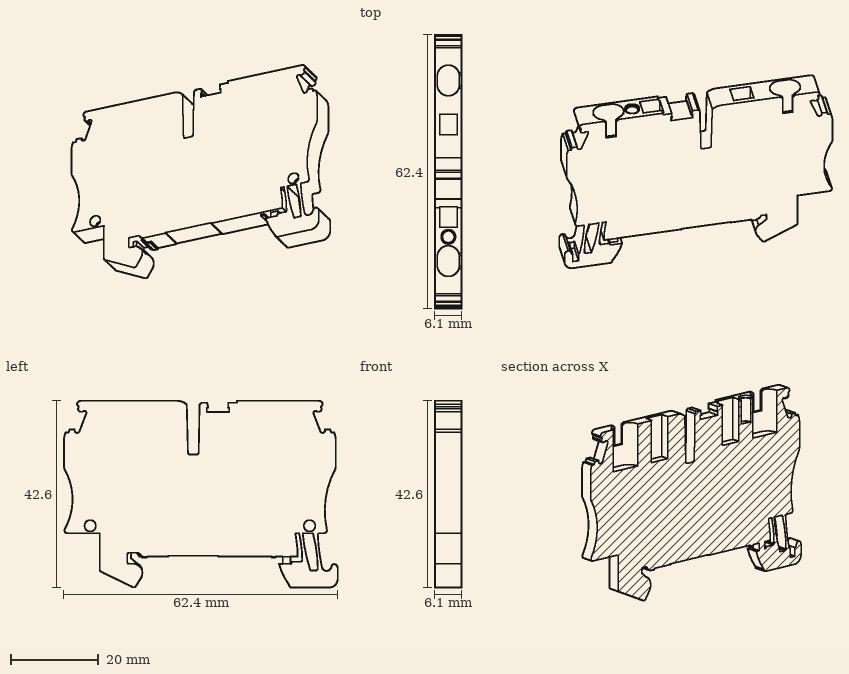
import cadquery as cq
import math


thickness = 6.1
height = 42.6
half_length = 31.0
foot_reach = 31.43
ledge_z = 12.4
rail_seat_z = 7.1
overcut = 1.0

near_x = -thickness / 2
far_x = thickness / 2
hook_recess_depth = 2.3
web_inset = 0.9

body_back_y = 22.85
body_front_y = -22.26
body_front_top_y = -21.8
body_front_bend_z = 8.9
seat_relief = 0.15
seat_relief_back_y = 7.25
seat_relief_front_y = -4.2
rail_pad_z = 6.8
throat_top_z = 7.95
throat_back_y = 15.6
throat_front_y = 14.4
throat_mouth_y = 13.1
jaw_z = 5.4

end_shoulder_z = 33.6
end_wall_bottom_z = 27.55
waist_top_inset = 0.1
waist_top_drop = 0.5
toe_rise = 0.9
toe_length = 0.6

wire_well_y = 20.58
wire_well_length = 7.0
wire_well_width = 5.05
wire_well_depth = 10.0
vent_mouth_width = 3.6
vent_width = 2.35
vent_mouth_depth = 0.5
vent_depth = 5.0
release_hole_y = 10.52
release_hole_length = 4.7
release_hole_width = 4.0
release_hole_depth = 10.0
screw_y = -15.05
screw_diameter = 2.7
screw_depth = 6.0
screw_seat_diameter = 3.3
screw_seat_depth = 0.5

socket_y = 25.0
socket_z = 14.1
socket_diameter = 2.6
socket_depth = 3.0


def trace(steps, start_x=near_x, depth=thickness):
    """Extrude a closed YZ outline; a step is a point, or a (through, end) pair for an arc."""
    path = cq.Workplane("YZ", origin=(start_x, 0, 0)).moveTo(*steps[0])
    for step in steps[1:]:
        if isinstance(step[0], tuple):
            path = path.threePointArc(*step)
        else:
            path = path.lineTo(*step)
    return path.close().extrude(depth)


def both_ends(cutter):
    """The cutter together with its mirror image at the other end of the housing."""
    return cutter.union(cutter.mirror("XZ"))


def housing():
    """Upper housing and lower body without any details."""
    return trace([
        (half_length, height),
        (-half_length, height),
        (-half_length, ledge_z),
        (body_front_top_y, ledge_z),
        (body_front_y, body_front_bend_z),
        (body_front_y, rail_seat_z),
        (seat_relief_front_y, rail_seat_z),
        (seat_relief_front_y, rail_seat_z + seat_relief),
        (seat_relief_back_y, rail_seat_z + seat_relief),
        (seat_relief_back_y, rail_seat_z),
        (body_back_y, rail_seat_z),
        (body_back_y, ledge_z),
        (half_length, ledge_z),
    ])


def end_notch():
    """Space outside the marker lip and the ribbed shoulder at the +Y end."""
    lip_start_y = 27.05
    lip_tip = (28.05, 41.75)
    lip_dent = (27.6, 41.2)
    lip_barb = (27.8, 40.75)
    lip_under = (27.2, 40.07)
    notch_top_y = 26.7
    notch_corner = (25.9, 39.75)
    notch_bottom = (27.45, 35.7)
    groove_z = 35.3
    rib_inner_y = 28.5
    rib_outer_y = 29.7
    rib_top_z = 36.08
    step_y = 29.95
    step_end_y = 30.6
    outside_y = half_length + overcut
    above_z = height + overcut
    return trace([
        (lip_start_y, above_z),
        (lip_start_y, height),
        ((27.75, 42.35), lip_tip),
        lip_dent,
        lip_barb,
        ((27.6, 40.3), lip_under),
        (notch_top_y, lip_under[1]),
        ((26.1, 40.2), notch_corner),
        notch_bottom,
        ((27.95, groove_z), (rib_inner_y, 35.75)),
        (rib_inner_y, rib_top_z),
        (rib_outer_y, rib_top_z),
        (step_y, 35.4),
        (step_end_y, 35.4),
        ((30.9, 34.5), (half_length, end_shoulder_z)),
        (outside_y, end_shoulder_z),
        (outside_y, above_z),
    ])


def end_waist(waist, toe_y):
    """Finger hollow at the +Y end, from the end wall through the waist point to a rounded toe."""
    outside_y = half_length + overcut
    toe_inner_y = toe_y - toe_length
    toe_mid = (toe_y - toe_length / 4, ledge_z + toe_rise / 4)
    return trace([
        (half_length, end_wall_bottom_z),
        (half_length - waist_top_inset, end_wall_bottom_z - waist_top_drop),
        (waist, (toe_y, ledge_z + toe_rise)),
        (toe_mid, (toe_inner_y, ledge_z)),
        (toe_inner_y, ledge_z - overcut),
        (outside_y, ledge_z - overcut),
        (outside_y, end_wall_bottom_z),
    ])


def bridge_slot():
    """Deep tapered slot between the two halves of the housing top."""
    slot_floor_z = 30.35
    floor_round = 0.5
    corner_inset = floor_round * (1 - math.sqrt(0.5))
    corner_z = slot_floor_z + corner_inset
    top_back_y = 2.95
    floor_back_y = 2.7
    floor_front_y = 0.3
    top_front_y = 0.1
    return trace([
        (5.05, height + overcut),
        (5.05, height),
        ((3.9, 42.35), (3.0, 41.75)),
        (top_back_y, 41.2),
        (floor_back_y, slot_floor_z + floor_round),
        ((floor_back_y - corner_inset, corner_z), (floor_back_y - floor_round, slot_floor_z)),
        (floor_front_y + floor_round, slot_floor_z),
        ((floor_front_y + corner_inset, corner_z), (floor_front_y, slot_floor_z + floor_round)),
        (top_front_y, 41.7),
        (-0.35, 42.15),
        (-0.35, height + overcut),
    ])


def marker_slot():
    """Lowered middle deck with an undercut groove for a marker tag."""
    deck_z = 42.15
    deck_front_y = -8.44
    groove_floor_z = 40.07
    catch_z = 40.95
    groove_back_y = -1.6
    groove_front_y = -6.65
    return trace([
        (0.0, height + overcut),
        (0.0, deck_z),
        (-1.65, deck_z),
        (-1.95, catch_z),
        (groove_back_y, catch_z),
        (groove_back_y, groove_floor_z),
        (groove_front_y, groove_floor_z),
        (groove_front_y, catch_z),
        (-6.4, catch_z),
        (-6.47, deck_z),
        (deck_front_y, deck_z),
        (deck_front_y, height + overcut),
    ])


def rail_hook():
    """Rigid hook at the +Y side that grips one edge of the rail, with its contact pad."""
    return trace([
        (body_back_y, ledge_z),
        (body_back_y, 4.2),
        ((22.75, 3.8), (22.4, 3.55)),
        (15.5, 0.2),
        ((15.0, 0.05), (14.6, 0.3)),
        (13.4, 2.2),
        ((13.1, 3.8), (13.75, 5.2)),
        (14.6, 5.75),
        (15.7, 6.75),
        (throat_back_y, throat_top_z),
        (throat_front_y, throat_top_z),
        (throat_mouth_y, rail_pad_z),
        (12.2, rail_pad_z),
        (11.95, rail_seat_z),
        (11.95, ledge_z),
    ])


def hook_throat():
    """Opening under the housing in front of the hook."""
    return trace([
        (16.0, rail_seat_z - overcut),
        (throat_back_y, throat_top_z),
        (throat_front_y, throat_top_z),
        (throat_mouth_y, rail_seat_z - overcut),
    ])


def hook_recess():
    """Wider throat at the -X face of the hook."""
    return trace([
        (14.0, throat_top_z),
        (16.1, throat_top_z),
        ((16.4, 7.85), (16.5, 7.5)),
        (16.5, 5.8),
        ((16.4, 5.5), (16.1, 5.4)),
        (14.8, 5.4),
        ((13.8, 4.9), (13.2, 4.1)),
        (12.0, 4.1),
        (11.9, rail_seat_z),
        (throat_mouth_y, rail_seat_z),
    ], depth=hook_recess_depth)


def rail_foot():
    """Sprung foot at the -Y side, hanging from the housing on two arms."""
    shelf_z = 5.95
    lip_z = 5.4
    return trace([
        (-22.6, ledge_z),
        ((-23.15, 9.0), (-23.3, 6.2)),
        (-23.05, shelf_z),
        (-21.1, shelf_z),
        (-20.7, jaw_z),
        (-18.0, jaw_z),
        ((-18.8, 3.2), (-20.3, 0.65)),
        ((-20.5, 0.2), (-21.0, 0.0)),
        (-29.6, 0.0),
        ((-30.8, 0.55), (-foot_reach, 1.8)),
        (-foot_reach, 4.4),
        ((-31.17, 5.1), (-30.6, lip_z)),
        ((-30.2, 5.25), (-29.95, 4.85)),
        ((-28.8, 3.85), (-27.85, 4.6)),
        ((-27.2, 8.5), (-26.9, 11.95)),
        ((-26.97, 12.28), (-27.25, ledge_z)),
    ])


def foot_window():
    """Opening between the two spring arms."""
    floor_z = 3.95
    return trace([
        (-23.45, ledge_z),
        (-25.75, ledge_z),
        ((-26.6, 8.0), (-26.85, 4.2)),
        (-26.6, floor_z),
        (-25.2, floor_z),
        ((-24.0, 8.6), (-23.45, ledge_z)),
    ])


def foot_pocket():
    """Screwdriver slot in the groove floor of the foot, open to the +X face."""
    start_x = near_x + 1.6
    back_y = -28.2
    front_y = -29.5
    floor_z = 2.0
    top_z = 4.6
    return trace([
        (back_y, floor_z),
        (back_y, top_z),
        (front_y, top_z),
        (front_y, floor_z),
    ], start_x, far_x - start_x)


def foot_link():
    """Inset web joining the foot jaw to the body, and the rail pad beside it."""
    back_y = -18.85
    front_y = -20.7
    start_x = near_x + web_inset
    width = thickness - 2 * web_inset
    link = trace([
        (back_y, jaw_z),
        (front_y, jaw_z),
        (front_y, rail_seat_z),
        (back_y, rail_seat_z),
    ], start_x, width)
    pad = trace([
        (-16.4, rail_seat_z),
        (-16.4, rail_pad_z),
        (-17.2, rail_pad_z),
        (-17.3, rail_seat_z),
    ], start_x, width)
    return link.union(pad)


def wire_well(y):
    """Obround wire entry with a flared vent through the +X wall."""
    well = (
        cq.Workplane("XY", origin=(0, y, height))
        .slot2D(wire_well_length, wire_well_width, 90)
        .extrude(-wire_well_depth)
    )
    half_mouth = vent_mouth_width / 2
    half_vent = vent_width / 2
    neck_z = height - vent_mouth_depth
    floor_z = height - vent_depth
    vent = trace([
        (y - half_mouth, height),
        (y - half_vent, neck_z),
        (y - half_vent, floor_z),
        (y + half_vent, floor_z),
        (y + half_vent, neck_z),
        (y + half_mouth, height),
    ], 0.0, far_x)
    return well.union(vent)


def release_hole(y):
    """Rectangular screwdriver hole in the top face."""
    return (
        cq.Workplane("XY", origin=(0, y, height))
        .rect(release_hole_width, release_hole_length)
        .extrude(-release_hole_depth)
    )


def screw_hole():
    """Stepped round hole for the test screw."""
    top = cq.Workplane("XY", origin=(0, screw_y, height))
    seat = top.circle(screw_seat_diameter / 2).extrude(-screw_seat_depth)
    return seat.union(top.circle(screw_diameter / 2).extrude(-screw_depth))


def socket(y):
    """Blind round socket in the -X face."""
    return (
        cq.Workplane("YZ", origin=(near_x, y, socket_z))
        .circle(socket_diameter / 2)
        .extrude(socket_depth)
    )


part = housing()
part = part.cut(both_ends(end_notch()))
part = part.cut(end_waist(waist=(29.05, 19.9), toe_y=30.85))
part = part.cut(end_waist(waist=(28.5, 17.1), toe_y=28.95).mirror("XZ"))
part = part.cut(bridge_slot()).cut(marker_slot())
part = part.cut(hook_throat()).union(rail_hook()).cut(hook_recess())
part = part.union(rail_foot()).cut(foot_window()).cut(foot_pocket()).union(foot_link())
for side in (1, -1):
    part = part.cut(wire_well(side * wire_well_y))
    part = part.cut(release_hole(side * release_hole_y))
    part = part.cut(socket(side * socket_y))
result = part.cut(screw_hole())